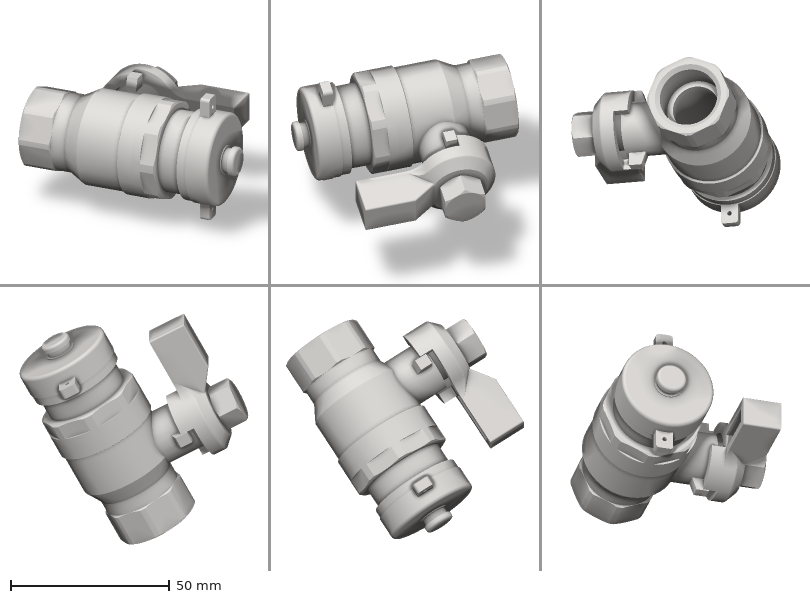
import cadquery as cq
import math


INLET_OCTAGON_END = 11.0
CONE_START = 15.55
CONE_END = 21.0
COLLAR_START = 35.0
COLLAR_JOINT = 39.9
FLATS_START = 43.0
COLLAR_END = 48.0
CAP_START = 54.95
CAP_STEP = 58.0
CAP_END = 65.6
KNOB_END = 70.0

INLET_ROUND_RADIUS = 13.3
INLET_APOTHEM = 12.6
INLET_CHAMFER = 0.4
NECK_RADIUS = 12.5
BARREL_RADIUS = 15.55
COLLAR_RADIUS = 16.25
COLLAR_SLOPE = 0.3
SOCKET_RADIUS = 9.3
SOCKET_MOUTH_RADIUS = 10.7
SOCKET_MOUTH_DEPTH = 1.05
SOCKET_DEPTH = 11.4
BORE_RADIUS = 15.0 / 2

STEM_X = 25.0
TOWER_RADIUS = 17.0 / 2
TOWER_TOP = 25.55
LUG_WIDTH = 3.6
LUG_TOP = 24.5
LUG_TIP_BOTTOM = 20.45
LUG_ROOT_BOTTOM = 19.05

WRENCH_APOTHEM = 15.5
OUTLET_RADIUS = 26.45 / 2
COLLAR_CHAMFER_LENGTH = 0.4
COLLAR_CHAMFER_DROP = 0.85

CAP_SKIRT_RADIUS = 14.7
CAP_RADIUS = 15.05
CAP_FILLET = 1.1
CAP_WALL = 2.6
EAR_WIDTH = 5.6
EAR_THICKNESS = 3.15
EAR_TIP = 21.0
EAR_CORNER = 1.05
EAR_HOLE_DIAMETER = 1.5
EAR_HOLE_Z = 17.7

KNOB_RADIUS = 9.5 / 2
KNOB_SHANK_RADIUS = 8.0 / 2
KNOB_FLANGE = 0.35
KNOB_HEAD = 2.0
KNOB_FILLET = 0.9
KNOB_SEAT_DEPTH = 1.05

SPINDLE_RADIUS = 12.4 / 2
SPINDLE_FOOT_RADIUS = 15.0 / 2
SPINDLE_FOOT_RISE = 0.5
SPINDLE_BOTTOM = 17.5

HUB_RADIUS = 25.0 / 2
HUB_BOTTOM = 27.1
HUB_TOP = 34.6
HUB_TOP_RADIUS = 9.4
HUB_EDGE_FILLET = 0.7
HUB_RECESS_RADIUS = 9.1
HUB_RECESS_DEPTH = 3.0
SKIRT_BOTTOM = 22.55
SKIRT_INNER_RADIUS = HUB_RECESS_RADIUS
SKIRT_SETBACK = 2.0
LEVER_HALF_WIDTH = 5.0
LEVER_START = 33.45
LEVER_SHOULDER = 40.6
LEVER_END = 57.0
LEVER_TOP = 39.55
LEVER_EDGE_FILLET = 0.5
LEVER_WALL = 2.5
POCKET_START = 37.5
BLEND_RADIUS = 7.9

NUT_ACROSS_FLATS = 13.0
NUT_TOP = 42.0
NUT_CHAMFER_RADIUS = NUT_ACROSS_FLATS / 2
NUT_CHAMFER_RISE = 0.6

OCTAGON_SIDES = 8
NUT_SIDES = 6


def turned_x(profile):
    """Solid of revolution about the flow axis from (x, radius) points."""
    return cq.Workplane("XY").polyline(profile).close().revolve(360, (0, 0, 0), (1, 0, 0))


def turned_stem(profile):
    """Solid of revolution about the stem axis from (radius, y) points."""
    turned = cq.Workplane("XY").polyline(profile).close().revolve(360, (0, 0, 0), (0, 1, 0))
    return turned.translate((STEM_X, 0, 0))


def rod_x(radius, start, end):
    """Cylinder along the flow axis."""
    return cq.Workplane("YZ", origin=(start, 0, 0)).circle(radius).extrude(end - start)


def stem_plane(y):
    """Workplane across the stem axis at height y: local x is X, local y is Z, extrusion goes toward -Y."""
    return cq.Workplane(cq.Plane(origin=(STEM_X, y, 0), xDir=(1, 0, 0), normal=(0, -1, 0)))


def stem_rod(radius, bottom, top):
    """Cylinder along the stem axis."""
    return stem_plane(top).circle(radius).extrude(top - bottom)


def octagon_x(apothem, start, end):
    """Octagonal prism along X with corners on the Y and Z axes."""
    corner_diameter = 2 * apothem / math.cos(math.pi / OCTAGON_SIDES)
    start_plane = cq.Workplane("YZ", origin=(start, 0, 0))
    return start_plane.polygon(OCTAGON_SIDES, corner_diameter).extrude(end - start)


def make_inlet_octagon():
    """Inlet wrench end: an octagon with turned corners and chamfered ends."""
    blank = turned_x([
        (0, 0),
        (0, INLET_APOTHEM),
        (INLET_CHAMFER, INLET_ROUND_RADIUS),
        (INLET_OCTAGON_END - INLET_CHAMFER, INLET_ROUND_RADIUS),
        (INLET_OCTAGON_END, INLET_APOTHEM),
        (INLET_OCTAGON_END, 0),
    ])
    return blank.intersect(octagon_x(INLET_APOTHEM, 0, INLET_OCTAGON_END))


def make_lugs():
    """Bar across the tower whose two ends are the stops for the handle, sloped underneath."""
    half_bar = [
        (0, LUG_TOP),
        (HUB_RADIUS, LUG_TOP),
        (HUB_RADIUS, LUG_TIP_BOTTOM),
        (TOWER_RADIUS, LUG_ROOT_BOTTOM),
        (0, LUG_ROOT_BOTTOM),
    ]
    side_plane = cq.Plane(origin=(STEM_X - LUG_WIDTH / 2, 0, 0), xDir=(0, 0, 1), normal=(-1, 0, 0))
    lug = cq.Workplane(side_plane).polyline(half_bar).close().extrude(-LUG_WIDTH)
    return lug.union(lug.mirror("XY"))


def make_body():
    """Housing with inlet octagon, cone, barrel, joint collar, stem tower and stepped bore."""
    barrel = turned_x([
        (INLET_OCTAGON_END, 0),
        (INLET_OCTAGON_END, NECK_RADIUS),
        (CONE_START, NECK_RADIUS),
        (CONE_END, BARREL_RADIUS),
        (COLLAR_START, BARREL_RADIUS),
        (COLLAR_START + COLLAR_SLOPE, COLLAR_RADIUS),
        (COLLAR_JOINT, COLLAR_RADIUS),
        (COLLAR_JOINT, 0),
    ])
    bore = turned_x([
        (0, 0),
        (0, SOCKET_MOUTH_RADIUS),
        (SOCKET_MOUTH_DEPTH, SOCKET_RADIUS),
        (SOCKET_DEPTH, SOCKET_RADIUS),
        (SOCKET_DEPTH, BORE_RADIUS),
        (COLLAR_JOINT, BORE_RADIUS),
        (COLLAR_JOINT, 0),
    ])
    tower = stem_rod(TOWER_RADIUS, 0, TOWER_TOP)
    spindle_seat = stem_rod(SPINDLE_RADIUS, SPINDLE_BOTTOM, TOWER_TOP)
    solid = make_inlet_octagon().union(barrel).union(tower).union(make_lugs())
    return solid.cut(bore).cut(spindle_seat)


def make_connector():
    """Outlet piece: collar with eight wrench flats, and a plain tube that enters the cap."""
    tube_end = CAP_END - CAP_WALL
    blank = turned_x([
        (COLLAR_JOINT, BORE_RADIUS),
        (COLLAR_JOINT, COLLAR_RADIUS),
        (COLLAR_END - COLLAR_CHAMFER_LENGTH, COLLAR_RADIUS),
        (COLLAR_END, COLLAR_RADIUS - COLLAR_CHAMFER_DROP),
        (COLLAR_END, OUTLET_RADIUS),
        (tube_end, OUTLET_RADIUS),
        (tube_end, BORE_RADIUS),
    ])
    flats_zone = rod_x(COLLAR_RADIUS, FLATS_START, COLLAR_END)
    flats_cutter = flats_zone.cut(octagon_x(WRENCH_APOTHEM, FLATS_START, COLLAR_END))
    return blank.cut(flats_cutter)


def make_cap():
    """Cup over the outlet tube with two drilled ears and a seat for the knob."""
    cup = rod_x(CAP_RADIUS, CAP_STEP, CAP_END).faces(">X").edges().fillet(CAP_FILLET)
    cup = cup.union(rod_x(CAP_SKIRT_RADIUS, CAP_START, CAP_STEP))
    ears = (
        cq.Workplane("YZ", origin=(CAP_STEP, 0, 0))
        .rect(EAR_WIDTH, 2 * EAR_TIP)
        .extrude(EAR_THICKNESS)
        .edges("|X")
        .fillet(EAR_CORNER)
    )
    ear_holes = (
        cq.Workplane("YZ", origin=(CAP_STEP, 0, 0))
        .pushPoints([(0, EAR_HOLE_Z), (0, -EAR_HOLE_Z)])
        .circle(EAR_HOLE_DIAMETER / 2)
        .extrude(EAR_THICKNESS)
    )
    tube_space = rod_x(OUTLET_RADIUS, CAP_START, CAP_END - CAP_WALL)
    knob_seat = rod_x(KNOB_SHANK_RADIUS, CAP_END - KNOB_SEAT_DEPTH, CAP_END)
    return cup.union(ears).cut(ear_holes).cut(tube_space).cut(knob_seat)


def make_knob():
    """Grooved knob: a thin flange on the cap, a shank and a rounded head."""
    shank = rod_x(KNOB_SHANK_RADIUS, CAP_END - KNOB_SEAT_DEPTH, KNOB_END - KNOB_HEAD)
    flange = rod_x(KNOB_RADIUS, CAP_END, CAP_END + KNOB_FLANGE)
    head = rod_x(KNOB_RADIUS, KNOB_END - KNOB_HEAD, KNOB_END).faces(">X").edges().fillet(KNOB_FILLET)
    return shank.union(flange).union(head)


def make_spindle():
    """Spindle between tower and handle, with a conical foot on the tower top."""
    return turned_stem([
        (0, SPINDLE_BOTTOM),
        (SPINDLE_RADIUS, SPINDLE_BOTTOM),
        (SPINDLE_RADIUS, TOWER_TOP),
        (SPINDLE_FOOT_RADIUS, TOWER_TOP),
        (SPINDLE_RADIUS, TOWER_TOP + SPINDLE_FOOT_RISE),
        (SPINDLE_RADIUS, HUB_BOTTOM + HUB_RECESS_DEPTH),
        (0, HUB_BOTTOM + HUB_RECESS_DEPTH),
    ])


def make_lever_root():
    """Neck that leads from the hub into the lever along concave arcs, tangent to both."""
    arc_center_z = LEVER_HALF_WIDTH + BLEND_RADIUS
    arc_center_x = math.sqrt((HUB_RADIUS + BLEND_RADIUS) ** 2 - arc_center_z ** 2)
    hub_share = HUB_RADIUS / (HUB_RADIUS + BLEND_RADIUS)
    tangent_x = arc_center_x * hub_share
    tangent_z = arc_center_z * hub_share
    tangent_angle = math.atan2(tangent_z, tangent_x)
    middle_angle = (tangent_angle + math.pi / 2) / 2
    middle_x = arc_center_x - BLEND_RADIUS * math.cos(middle_angle)
    middle_z = arc_center_z - BLEND_RADIUS * math.sin(middle_angle)
    return (
        stem_plane(HUB_TOP)
        .moveTo(0, tangent_z)
        .lineTo(tangent_x, tangent_z)
        .threePointArc((middle_x, middle_z), (arc_center_x, LEVER_HALF_WIDTH))
        .lineTo(arc_center_x, -LEVER_HALF_WIDTH)
        .threePointArc((middle_x, -middle_z), (tangent_x, -tangent_z))
        .lineTo(0, -tangent_z)
        .close()
        .extrude(HUB_TOP - HUB_BOTTOM)
    )


def make_hub():
    """Round hub with a 45 degree top that also trims the lever root."""
    cone_rise = HUB_TOP - HUB_BOTTOM
    trim_cone = turned_stem([
        (0, HUB_BOTTOM),
        (HUB_TOP_RADIUS + cone_rise, HUB_BOTTOM),
        (HUB_TOP_RADIUS, HUB_TOP),
        (0, HUB_TOP),
    ])
    disc = stem_rod(HUB_RADIUS, HUB_BOTTOM, HUB_TOP)
    disc = disc.faces(">Y").edges().chamfer(HUB_RADIUS - HUB_TOP_RADIUS)
    disc = disc.edges("%CIRCLE").edges("(not >Y) and (not <Y)").fillet(HUB_EDGE_FILLET)
    return disc.union(make_lever_root().intersect(trim_cone))


def make_skirt():
    """Two quarter-ring skirts below the hub, opposite each other, that meet the stop lugs."""
    ring_height = HUB_BOTTOM - SKIRT_BOTTOM
    ring = stem_plane(HUB_BOTTOM).circle(HUB_RADIUS).circle(SKIRT_INNER_RADIUS).extrude(ring_height)
    quadrant_size = HUB_RADIUS - SKIRT_SETBACK
    quadrant_center = SKIRT_SETBACK + quadrant_size / 2
    quadrants = (
        stem_plane(HUB_BOTTOM)
        .pushPoints([(-quadrant_center, quadrant_center), (quadrant_center, -quadrant_center)])
        .rect(quadrant_size, quadrant_size)
        .extrude(ring_height)
    )
    return ring.intersect(quadrants)


def make_lever():
    """Flat lever, rounded along its outer rim and open on the side toward the valve."""
    outline = [
        (LEVER_START, HUB_BOTTOM),
        (LEVER_START, HUB_TOP),
        (LEVER_SHOULDER, LEVER_TOP),
        (LEVER_END, LEVER_TOP),
        (LEVER_END, HUB_BOTTOM),
    ]
    lever = (
        cq.Workplane("XY", origin=(0, 0, -LEVER_HALF_WIDTH))
        .polyline(outline)
        .close()
        .extrude(2 * LEVER_HALF_WIDTH)
    )
    rim = lever.faces("|Z").edges("not(<X or <Y)")
    return rim.fillet(LEVER_EDGE_FILLET)


def make_pocket():
    """Hollow of the lever."""
    pocket_end = LEVER_END - LEVER_WALL
    return (
        cq.Workplane("XY", origin=(0, 0, LEVER_WALL - LEVER_HALF_WIDTH))
        .moveTo(POCKET_START, HUB_BOTTOM)
        .lineTo(POCKET_START, HUB_TOP)
        .lineTo(pocket_end, HUB_TOP)
        .lineTo(pocket_end, HUB_BOTTOM)
        .close()
        .extrude(2 * (LEVER_HALF_WIDTH - LEVER_WALL))
    )


def make_handle():
    """Hub, skirt and hollow lever in one piece, recessed underneath around the spindle."""
    recess = stem_rod(HUB_RECESS_RADIUS, HUB_BOTTOM, HUB_BOTTOM + HUB_RECESS_DEPTH)
    return make_hub().union(make_lever()).union(make_skirt()).cut(make_pocket()).cut(recess)


def make_nut():
    """Hexagon nut on the hub, chamfered at both ends, with two corners on Z."""
    corner_radius = NUT_ACROSS_FLATS / 2 / math.cos(math.pi / NUT_SIDES)
    prism = (
        stem_plane(NUT_TOP)
        .transformed(rotate=(0, 0, 90))
        .polygon(NUT_SIDES, 2 * corner_radius)
        .extrude(NUT_TOP - HUB_TOP)
    )
    envelope = turned_stem([
        (0, HUB_TOP),
        (NUT_CHAMFER_RADIUS, HUB_TOP),
        (corner_radius, HUB_TOP + NUT_CHAMFER_RISE),
        (corner_radius, NUT_TOP - NUT_CHAMFER_RISE),
        (NUT_CHAMFER_RADIUS, NUT_TOP),
        (0, NUT_TOP),
    ])
    return prism.intersect(envelope)


body = make_body()
connector = make_connector()
cap = make_cap()
knob = make_knob()
spindle = make_spindle()
handle = make_handle()
nut = make_nut()

result = cq.Compound.makeCompound([
    body.solids().val(),
    connector.solids().val(),
    cap.solids().val(),
    knob.solids().val(),
    spindle.solids().val(),
    handle.solids().val(),
    nut.solids().val(),
])